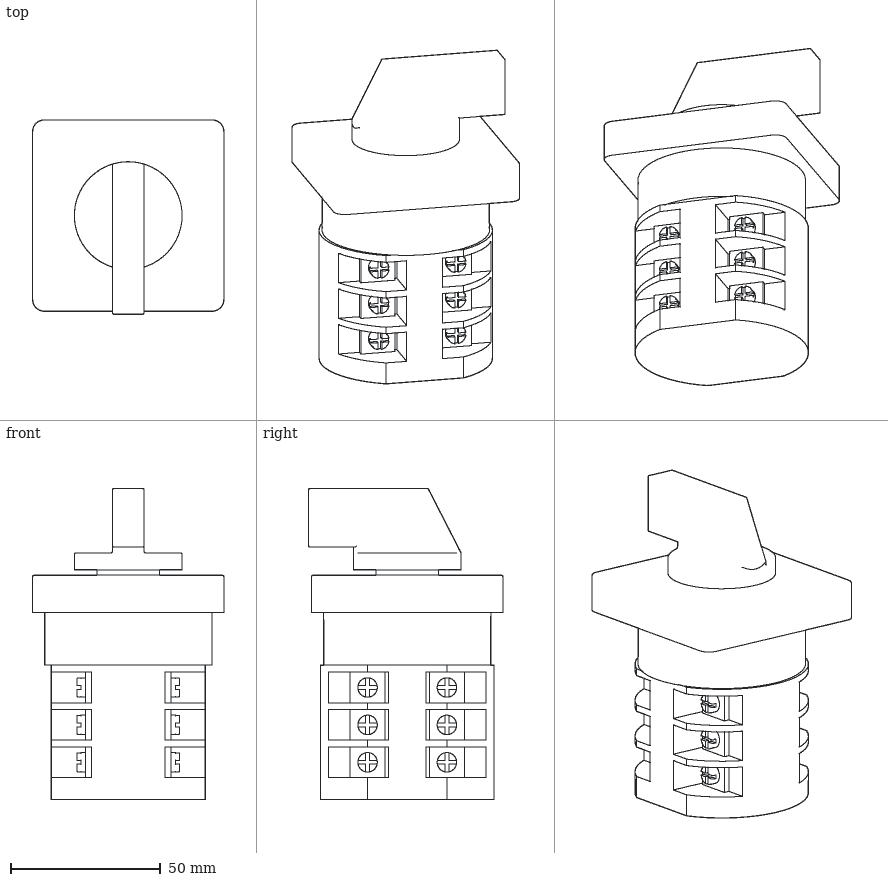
import cadquery as cq

BODY_TOP = 45.0
PLATE_BOTTOM = 62.5
PLATE_TOP = 75.0
DISC_BOTTOM = 76.8
DISC_TOP = 82.5
GRIP_UNDERSIDE = 84.4
GRIP_TOP = 104.0

BODY_DIAMETER = 58.0
BODY_WIDTH = 51.5

LEVEL_COUNT = 3
LEVEL_PITCH = 12.5
POCKET_HEIGHT = 10.25
POCKET_FLOOR_X = 12.25
POCKET_INNER_Y = 6.2

PAD_FACE_X = 14.25
PAD_INNER_Y = 7.4
PAD_OUTER_Y = 19.1

SCREW_DIAMETER = 6.5
SCREW_HEIGHT = 2.9
SCREW_EDGE_RADIUS = 0.4
SLOT_WIDTH = 1.25
SLOT_DEPTH = 1.4

COLLAR_DIAMETER = 56.0
PLATE_SIDE = 64.0
PLATE_CORNER_RADIUS = 4.0
PLATE_EDGE_RADIUS = 0.5
NECK_DIAMETER = 21.0

DISC_DIAMETER = 36.0
GRIP_WIDTH = 10.6
GRIP_FRONT_Y = -33.0
GRIP_TOP_BACK_Y = 7.0
KNOB_EDGE_RADIUS = 0.5

TOLERANCE = 0.01


def cylinder(diameter, bottom, top):
    """Upright cylinder on the Z axis between two heights."""
    return cq.Workplane("XY").workplane(offset=bottom).circle(diameter / 2).extrude(top - bottom)


def span_box(x_range, y_range, z_range):
    """Box given by its lower and upper limits along each axis."""
    limits = (x_range, y_range, z_range)
    sizes = [high - low for low, high in limits]
    corner = tuple(low for low, high in limits)
    return cq.Workplane("XY").box(*sizes, centered=False).translate(corner)


def make_screw():
    """Screw head lying along +X with its seat on the YZ plane."""
    head = cq.Workplane("YZ").circle(SCREW_DIAMETER / 2).extrude(SCREW_HEIGHT)
    head = head.faces(">X").edges().fillet(SCREW_EDGE_RADIUS)
    slot_x = SCREW_HEIGHT - SLOT_DEPTH / 2
    for size_y, size_z in ((SLOT_WIDTH, SCREW_DIAMETER), (SCREW_DIAMETER, SLOT_WIDTH)):
        slot = cq.Workplane("XY").box(SLOT_DEPTH, size_y, size_z).translate((slot_x, 0, 0))
        head = head.cut(slot)
    return head


def in_four_corners(shape):
    """The shape in the +X +Y quarter and its mirror images in the other three."""
    pair = shape.union(shape.mirror("YZ"))
    return pair.union(pair.mirror("XZ"))


def make_body():
    """Flatted contact block with terminal pockets, pads and screws."""
    flats = cq.Workplane("XY").rect(BODY_WIDTH, BODY_DIAMETER).extrude(BODY_TOP)
    body = cylinder(BODY_DIAMETER, 0, BODY_TOP).intersect(flats)
    screw = make_screw()
    pad_middle_y = (PAD_INNER_Y + PAD_OUTER_Y) / 2
    reach = BODY_DIAMETER / 2
    for level in range(1, LEVEL_COUNT + 1):
        middle = level * LEVEL_PITCH
        heights = (middle - POCKET_HEIGHT / 2, middle + POCKET_HEIGHT / 2)
        pocket = span_box((POCKET_FLOOR_X, reach), (POCKET_INNER_Y, reach), heights)
        pad = span_box((POCKET_FLOOR_X, PAD_FACE_X), (PAD_INNER_Y, PAD_OUTER_Y), heights)
        terminal = pad.union(screw.translate((PAD_FACE_X, pad_middle_y, middle)))
        body = body.cut(in_four_corners(pocket)).union(in_four_corners(terminal))
    return body


def make_plate():
    """Square front plate with rounded corners and a softened top edge."""
    thickness = PLATE_TOP - PLATE_BOTTOM
    plate = cq.Workplane("XY").workplane(offset=PLATE_BOTTOM)
    plate = plate.rect(PLATE_SIDE, PLATE_SIDE).extrude(thickness)
    plate = plate.edges("|Z").fillet(PLATE_CORNER_RADIUS)
    return plate.faces(">Z").edges().fillet(PLATE_EDGE_RADIUS)


def is_rounded_knob_edge(edge):
    """True for the disc rim, the grip foot, the short uprights, the underside and the grip top and slope."""
    box = edge.BoundingBox()
    is_straight = edge.geomType() == "LINE"
    above_disc = box.zmin > DISC_TOP - TOLERANCE
    at_disc_top = above_disc and box.zmax < DISC_TOP + TOLERANCE
    between_disc_and_underside = above_disc and box.zmax < GRIP_UNDERSIDE + TOLERANCE
    reaches_grip_top = box.zmax > GRIP_TOP - TOLERANCE
    return at_disc_top or reaches_grip_top or (is_straight and between_disc_and_underside)


def make_knob():
    """Disc and grip; the grip slopes up from the back rim and overhangs the front."""
    disc_radius = DISC_DIAMETER / 2
    profile = [
        (disc_radius, DISC_BOTTOM),
        (disc_radius, DISC_TOP),
        (GRIP_TOP_BACK_Y, GRIP_TOP),
        (GRIP_FRONT_Y, GRIP_TOP),
        (GRIP_FRONT_Y, DISC_BOTTOM),
    ]
    grip = cq.Workplane("YZ").polyline(profile).close().extrude(GRIP_WIDTH / 2, both=True)
    overhang = span_box((-disc_radius, disc_radius), (GRIP_FRONT_Y, 0), (GRIP_UNDERSIDE, GRIP_TOP))
    grip = grip.intersect(cylinder(DISC_DIAMETER, DISC_BOTTOM, GRIP_TOP).union(overhang))
    knob = grip.union(cylinder(DISC_DIAMETER, DISC_BOTTOM, DISC_TOP))
    rounded_edges = [edge for edge in knob.edges().vals() if is_rounded_knob_edge(edge)]
    return knob.newObject(rounded_edges).fillet(KNOB_EDGE_RADIUS)


result = (
    make_body()
    .union(cylinder(COLLAR_DIAMETER, BODY_TOP, PLATE_BOTTOM))
    .union(make_plate())
    .union(cylinder(NECK_DIAMETER, PLATE_TOP, DISC_BOTTOM))
    .union(make_knob())
)